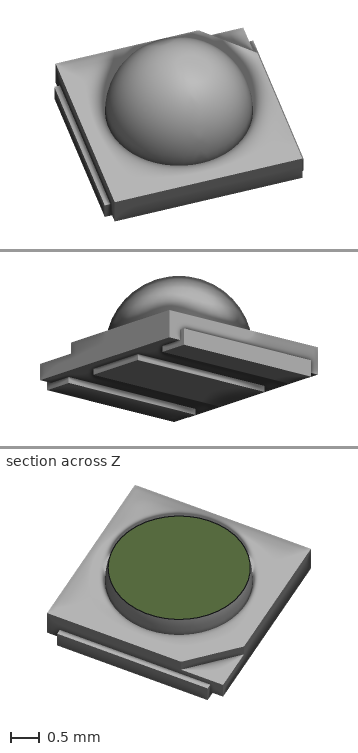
import cadquery as cq

body_side = 3.45
body_height = 0.5
overall_length = 3.66
standoff = 0.11

lens_radius = 1.3

corner_cut = 0.825
corner_cut_depth = 0.2

pad_width = 2.95
end_pad_length = 0.58
end_pad_height = 0.3
center_pad_length = 1.19

body_top = standoff + body_height
half_side = body_side / 2


def block(width, length, height, y=0, z=0):
    """Box centred in X, centred on y, with its underside at z."""
    return cq.Workplane("XY").box(width, length, height, centered=(True, True, False)).translate((0, y, z))


def make_body():
    """Square substrate with a shallow triangular step at the -X, +Y corner."""
    corner_step = (
        cq.Workplane("XY", origin=(0, 0, body_top - corner_cut_depth))
        .moveTo(-half_side, half_side)
        .lineTo(-half_side + corner_cut, half_side)
        .lineTo(-half_side, half_side - corner_cut)
        .close()
        .extrude(corner_cut_depth)
    )
    return block(body_side, body_side, body_height, z=standoff).cut(corner_step)


def make_lens():
    """Hemispherical dome standing on the body."""
    return (
        cq.Workplane("XZ", origin=(0, 0, body_top))
        .lineTo(lens_radius, 0)
        .radiusArc((0, lens_radius), -lens_radius)
        .close()
        .revolve(360, (0, 0, 0), (0, 1, 0))
    )


def make_pads():
    """Central pad under the body and two end pads that wrap up its sides."""
    pads = block(pad_width, center_pad_length, standoff)
    end_pad_offset = (overall_length - end_pad_length) / 2
    for side in (-1, 1):
        pads = pads.union(block(pad_width, end_pad_length, end_pad_height, y=side * end_pad_offset))
    return pads


result = make_body().union(make_lens()).union(make_pads())